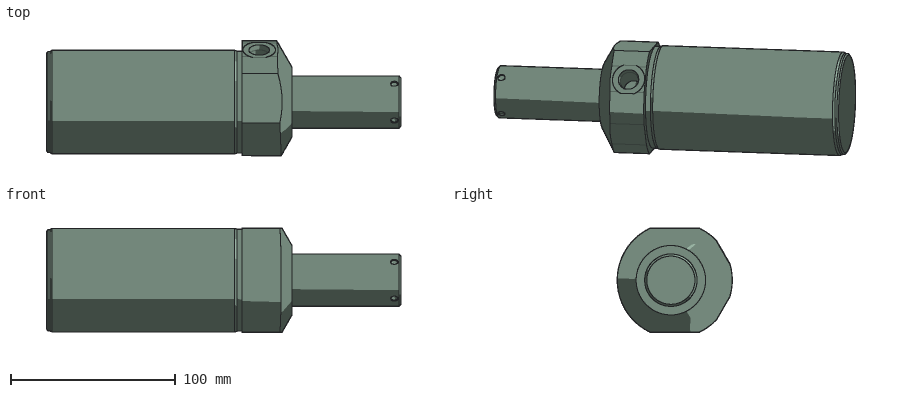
import cadquery as cq
import math

length = 215.0
head_start = 118.6
head_end = 149.0

body_diameter = 63.0
body_radius = body_diameter / 2
lip_radius = 30.7
end_face_radius = 29.7
end_chamfer = 0.9
lip_end = 2.1
body_start = 3.5
body_end = 114.1
neck_start = 115.6
neck_radius = 31.0

head_diameter = 69.9
head_radius = head_diameter / 2
head_offset_y = 2.4
wrench_flat_width = 63.2
port_flat_distance = 34.0
port_flat_angle = 30.0
nose_radius = 21.0
nose_half_angle = 60.0

drill_half_angle = 59.0

port_x = 129.0
port_diameter = 11.4
port_lead_diameter = 12.5
port_lead_depth = 3.2
port_depth = 19.3
spotface_diameter = 19.8
spotface_depth = 0.2

rod_radius = 16.0
rod_chamfer = 1.3
pin_hole_count = 4
pin_hole_diameter = 4.3
pin_hole_depth = 1.0
pin_hole_x = 210.8


def make_body():
    profile = [
        (0, 0),
        (0, end_face_radius),
        (end_chamfer, lip_radius),
        (lip_end, lip_radius),
        (body_start, body_radius),
        (body_end, body_radius),
        (neck_start, neck_radius),
        (head_start, neck_radius),
        (head_start, 0),
    ]
    return cq.Workplane("XY").polyline(profile).close().revolve(360, (0, 0), (1, 0))


def port_plane(distance, side=1):
    """Plane facing out along a port flat normal, measured from the head centre."""
    angle = math.radians(port_flat_angle)
    normal_y = math.cos(angle)
    normal_z = side * math.sin(angle)
    origin = (port_x, head_offset_y + distance * normal_y, distance * normal_z)
    return cq.Plane(origin=origin, xDir=(1, 0, 0), normal=(0, normal_y, normal_z))


def make_head():
    head_length = head_end - head_start
    blank_size = 3 * head_radius
    head = (
        cq.Workplane("YZ", origin=(head_start, head_offset_y, 0))
        .circle(head_radius)
        .extrude(head_length)
    )
    wrench_flats = cq.Workplane("XY").box(2 * length, blank_size, wrench_flat_width)
    head = head.intersect(wrench_flats)

    for side in (1, -1):
        outside_flat = (
            cq.Workplane(port_plane(port_flat_distance, side))
            .rect(blank_size, blank_size)
            .extrude(head_radius)
        )
        head = head.cut(outside_flat)

    nose_base_radius = nose_radius + head_length * math.tan(math.radians(nose_half_angle))
    nose_cone = (
        cq.Workplane("XY")
        .polyline([
            (head_start, 0),
            (head_start, nose_base_radius),
            (head_end, nose_radius),
            (head_end, 0),
        ])
        .close()
        .revolve(360, (0, 0), (1, 0))
    )
    return head.intersect(nose_cone)


def make_rod():
    rod = cq.Workplane("YZ", origin=(head_start, 0, 0)).circle(rod_radius).extrude(length - head_start)
    return rod.faces(">X").chamfer(rod_chamfer)


def make_drilled_hole(plane, diameter, depth):
    """Cutter going down from the plane, ending in a drill-point cone."""
    radius = diameter / 2
    tip_depth = depth + radius / math.tan(math.radians(drill_half_angle))
    return (
        cq.Workplane(cq.Plane(origin=plane.origin, xDir=plane.xDir, normal=-plane.yDir))
        .polyline([(0, 0), (radius, 0), (radius, -depth), (0, -tip_depth)])
        .close()
        .revolve(360, (0, 0), (0, 1))
    )


def make_port():
    """Cutter for the port: shallow spotface, tapered lead-in and drilled bore."""
    spotface_floor = port_flat_distance - spotface_depth
    bore = make_drilled_hole(port_plane(spotface_floor), port_diameter, port_depth)
    spotface = (
        cq.Workplane(port_plane(spotface_floor))
        .circle(spotface_diameter / 2)
        .extrude(head_radius - spotface_floor)
    )
    lead_in = (
        cq.Workplane(port_plane(spotface_floor - port_lead_depth))
        .circle(port_diameter / 2)
        .workplane(offset=port_lead_depth)
        .circle(port_lead_diameter / 2)
        .loft()
    )
    return bore.union(lead_in).union(spotface)


def make_pin_hole(angle):
    """Radial drilled hole near the rod end, starting at the rod surface."""
    mouth = cq.Plane(origin=(pin_hole_x, 0, rod_radius), xDir=(1, 0, 0), normal=(0, 0, 1))
    hole = make_drilled_hole(mouth, pin_hole_diameter, pin_hole_depth)
    return hole.rotate((0, 0, 0), (1, 0, 0), angle)


result = make_body().union(make_head()).union(make_rod()).cut(make_port())

pin_hole_spacing = 360 / pin_hole_count
for index in range(pin_hole_count):
    result = result.cut(make_pin_hole((index + 0.5) * pin_hole_spacing))